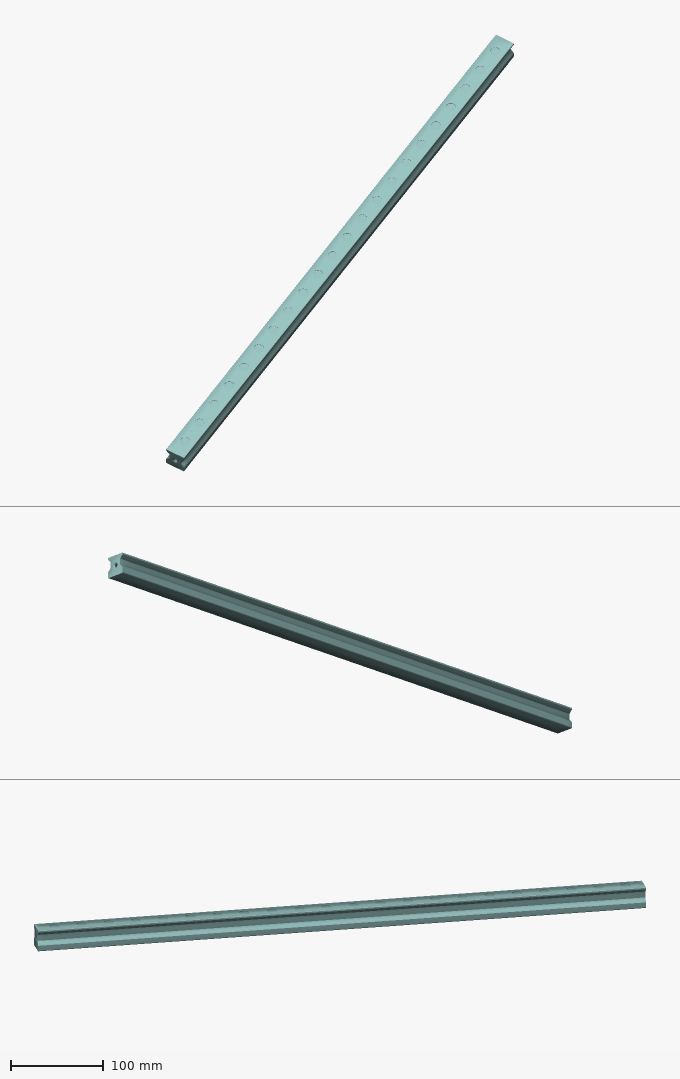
import cadquery as cq

length = 670.0
width = 23.0
height = 23.6
half_width = width / 2

bottom_chamfer = 0.8
base_side_top = 6.6
shoulder_width = 1.2
shoulder_height = 1.4

neck_half_width = 7.4

head_side_height = 1.9
top_chamfer = 0.4

recess_pitch = 30.0
recess_count = 22
recess_diameter = 11.0
recess_depth = 0.4

end_hole_height = height / 2
end_hole_diameter = 4.0
end_hole_depth = 10.0
countersink_diameter = 6.5
countersink_angle = 90.0


def make_rail():
    """Extrude the symmetric rail section along Y, centred on the origin."""
    shoulder_half_width = half_width - shoulder_width
    shoulder_top = base_side_top + shoulder_height
    head_side_bottom = height - head_side_height
    neck_bottom = shoulder_top + (shoulder_half_width - neck_half_width)
    neck_top = head_side_bottom - (half_width - neck_half_width)

    right_side = [
        (0, 0),
        (half_width - bottom_chamfer, 0),
        (half_width, bottom_chamfer),
        (half_width, base_side_top),
        (shoulder_half_width, shoulder_top),
        (neck_half_width, neck_bottom),
        (neck_half_width, neck_top),
        (half_width, head_side_bottom),
        (half_width, height - top_chamfer),
        (half_width - top_chamfer, height),
        (0, height),
    ]
    section = cq.Workplane("XZ").polyline(right_side).mirrorY()
    return section.extrude(length / 2, both=True)


def cut_top_recesses(rail):
    """Cut the evenly spaced, centred row of recesses into the top face."""
    recesses = (
        cq.Workplane("XY", origin=(0, 0, height))
        .rarray(1, recess_pitch, 1, recess_count)
        .circle(recess_diameter / 2)
        .extrude(-recess_depth)
    )
    return rail.cut(recesses)


def drill_end_hole(rail, end_face):
    """Drill one blind countersunk hole, on the rail axis, into an end face."""
    return (
        rail.faces(end_face)
        .workplane(origin=(0, 0, end_hole_height))
        .cskHole(end_hole_diameter, countersink_diameter, countersink_angle, depth=end_hole_depth)
    )


result = cut_top_recesses(make_rail())
for end_face in ("<Y", ">Y"):
    result = drill_end_hole(result, end_face)